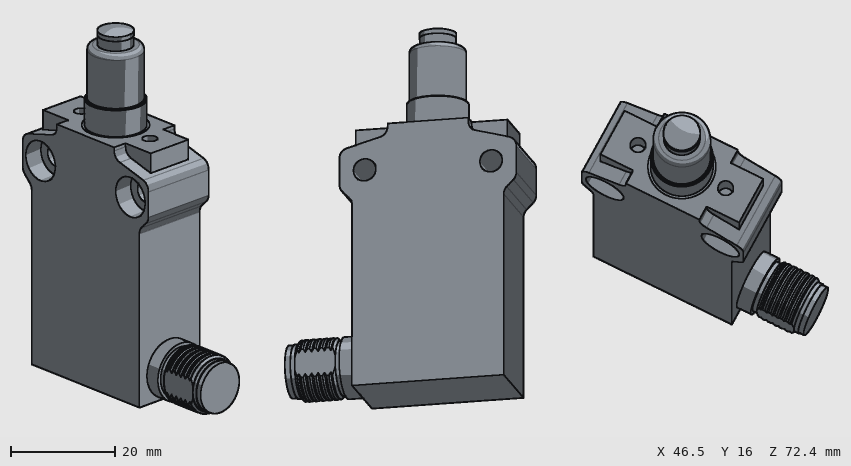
import cadquery as cq
import math


body_width = 30.0
ear_width = 35.0
thickness = 16.0
housing_height = 52.0
tab_depth = 10.0
shoulder_half_width = 8.0
ear_top = 47.2
ear_bottom = 39.55
shoulder_angle = 15
outline_radius = 2.0

mount_spacing = 25.0
mount_height = 43.0
mount_hole_diameter = 4.4
mount_bore_diameter = 8.2
mount_bore_depth = 4.0
pilot_spacing = 19.0
pilot_diameter = 3.0
pilot_depth = 4.35

flange_diameter = 13.05
flange_depth = 2.0
collar_diameter = 12.0
collar_top = 57.65
collar_chamfer = 0.2
sleeve_diameter = 11.0
sleeve_top = 68.7
sleeve_rounding = 1.0

stem_diameter = 7.0
cap_diameter = 7.1
cap_bottom = 70.8
cap_rim = 71.7
plunger_top = 72.4

boss_diameter = 12.0
boss_end = 18.0
neck_diameter = 10.6
thread_diameter = 11.95
thread_start = 19.0
thread_end = 27.0
thread_chamfer = 0.6
groove_count = 6
groove_width = 0.8
crest_width = 0.47
groove_depth = 0.25
flat_spacing = 10.6
tip_diameter = 10.3
tip_start = 27.9
reach_past_ear = 11.5

flange_bottom = housing_height - flange_depth
connector_height = boss_diameter / 2
connector_end = ear_width / 2 + reach_past_ear
thread_pitch = crest_width + groove_width


def upright_cylinder(diameter, top):
    floor = cq.Workplane("XY", origin=(0, 0, flange_bottom))
    return floor.circle(diameter / 2).extrude(top - flange_bottom)


def make_housing():
    half_body = body_width / 2
    half_ear = ear_width / 2
    shoulder_rise = (half_ear - shoulder_half_width) * math.tan(math.radians(shoulder_angle))
    right_side = [
        (half_body, 0),
        (half_body, ear_bottom - (half_ear - half_body)),
        (half_ear, ear_bottom),
        (half_ear, ear_top),
        (shoulder_half_width, ear_top + shoulder_rise),
        (shoulder_half_width, housing_height),
    ]
    left_side = [(-x, z) for x, z in reversed(right_side)]
    plate = (
        cq.Workplane("XZ")
        .polyline(right_side + left_side)
        .close()
        .extrude(thickness / 2, both=True)
    )

    corner_margin = 0.7
    rounded_zone = cq.selectors.BoxSelector(
        (-ear_width, -thickness, corner_margin),
        (ear_width, thickness, housing_height - corner_margin),
    )
    plate = plate.edges("|Y").edges(rounded_zone).fillet(outline_radius)

    tab = cq.Workplane("XY").box(body_width, tab_depth, housing_height, centered=(True, True, False))
    housing = plate.union(tab)

    mounting_holes = (
        cq.Workplane("XZ", origin=(0, -thickness / 2, mount_height))
        .pushPoints([(-mount_spacing / 2, 0), (mount_spacing / 2, 0)])
    )
    housing = housing.cut(mounting_holes.circle(mount_hole_diameter / 2).extrude(-thickness))
    housing = housing.cut(mounting_holes.circle(mount_bore_diameter / 2).extrude(-mount_bore_depth))

    pilot_holes = (
        cq.Workplane("XY", origin=(0, 0, housing_height))
        .pushPoints([(-pilot_spacing / 2, 0), (pilot_spacing / 2, 0)])
        .circle(pilot_diameter / 2)
        .extrude(-pilot_depth)
    )
    flange_recess = upright_cylinder(flange_diameter, housing_height)
    return housing.cut(pilot_holes).cut(flange_recess)


def make_guide_head():
    flange = upright_cylinder(flange_diameter, housing_height)
    collar = upright_cylinder(collar_diameter, collar_top).faces(">Z").chamfer(collar_chamfer)
    sleeve = upright_cylinder(sleeve_diameter, sleeve_top).faces(">Z").fillet(sleeve_rounding)
    guide_bore = upright_cylinder(stem_diameter, sleeve_top)
    return flange.union(collar).union(sleeve).cut(guide_bore)


def make_plunger():
    stem_radius = stem_diameter / 2
    cap_radius = cap_diameter / 2
    dome_height = plunger_top - cap_rim
    dome_radius = (cap_radius**2 + dome_height**2) / (2 * dome_height)
    dome_half_angle = math.asin(cap_radius / dome_radius) / 2
    dome_middle = (
        dome_radius * math.sin(dome_half_angle),
        plunger_top - dome_radius * (1 - math.cos(dome_half_angle)),
    )
    return (
        cq.Workplane("XZ")
        .moveTo(0, flange_bottom)
        .lineTo(stem_radius, flange_bottom)
        .lineTo(stem_radius, cap_bottom)
        .lineTo(cap_radius, cap_bottom)
        .lineTo(cap_radius, cap_rim)
        .threePointArc(dome_middle, (0, plunger_top))
        .close()
        .revolve(360, (0, 0, 0), (0, 1, 0))
    )


def connector_cylinder(diameter, start, end):
    start_plane = cq.Workplane("YZ", origin=(start, 0, connector_height))
    return start_plane.circle(diameter / 2).extrude(end - start)


def make_thread():
    thread = connector_cylinder(thread_diameter, thread_start, thread_end)
    thread = thread.faces("<X or >X").chamfer(thread_chamfer)

    thread_radius = thread_diameter / 2
    first_groove = (thread_start + thread_end - (groove_count - 1) * thread_pitch) / 2
    for number in range(groove_count):
        groove = (
            cq.Workplane("XZ", origin=(first_groove + number * thread_pitch, 0, connector_height))
            .moveTo(-groove_width / 2, thread_radius)
            .lineTo(0, thread_radius - groove_depth)
            .lineTo(groove_width / 2, thread_radius)
            .close()
            .revolve(360, (0, 0, 0), (1, 0, 0))
        )
        thread = thread.cut(groove)

    thread_middle = ((thread_start + thread_end) / 2, 0, connector_height)
    between_flats = cq.Workplane("XY", origin=thread_middle).box(
        thread_end - thread_start, flat_spacing, thread_diameter
    )
    return thread.intersect(between_flats)


def make_connector():
    boss = connector_cylinder(boss_diameter, body_width / 2, boss_end)
    neck = connector_cylinder(neck_diameter, body_width / 2, tip_start)
    tip = connector_cylinder(tip_diameter, tip_start, connector_end)
    return boss.union(neck).union(make_thread()).union(tip)


housing = make_housing()
guide_head = make_guide_head()
plunger = make_plunger()
connector = make_connector()

result = cq.Compound.makeCompound([housing.val(), guide_head.val(), plunger.val(), connector.val()])